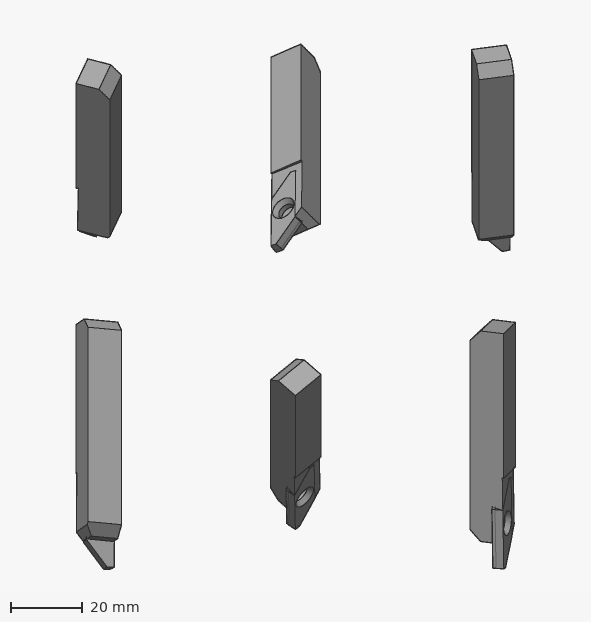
import cadquery as cq
import math

SHANK_SIZE = 10.0
SHANK_LENGTH = 62.5
END_CHAMFER = 3.2
NOSE_BEVEL_WIDTH = 2.15
NOSE_BEVEL_HEIGHT = 2.55

RELIEF_TOP = 19.6
SEAT_PITCH_ANGLE = 1.0
SEAT_YAW_ANGLE = 1.5

INSERT_THICKNESS = 3.18
FLARE_DEPTH = 2.2
FLARE_WIDTH = 0.22
INSERT_HALF_WIDTH = 3.95
INSERT_HALF_LENGTH = 12.39
TIP_WIDTH = 1.7
TIP_DROP = 0.15
TIP_SLOPE = 49.6
INSERT_CENTER_Y = 1.065
INSERT_CENTER_Z = 4.96
FACE_X_AT_CENTER = 0.277

HOLE_DIAMETER = 4.9
SINK_DIAMETER = 7.0
SINK_DEPTH = 1.55

HALF_SIZE = SHANK_SIZE / 2


def place_on_seat(body):
    """Tilt a body built about the insert's face centre and move it to the seat."""
    origin = (0, 0, 0)
    pitched = body.rotate(origin, (0, 1, 0), SEAT_PITCH_ANGLE)
    yawed = pitched.rotate(origin, (0, 0, 1), SEAT_YAW_ANGLE)
    return yawed.translate((FACE_X_AT_CENTER, INSERT_CENTER_Y, INSERT_CENTER_Z))


def insert_section(depth, growth):
    """Insert outline at a depth below its outer face, its long edges and slopes moved out by growth."""
    half_width = INSERT_HALF_WIDTH + growth
    slope = math.radians(TIP_SLOPE)
    slope_rise = (INSERT_HALF_WIDTH - TIP_WIDTH) * math.tan(slope)
    slope_middle = INSERT_HALF_LENGTH - slope_rise + growth / math.cos(slope)
    tip_y = (slope_middle - INSERT_HALF_LENGTH) / math.tan(slope)
    shoulder_z = slope_middle - half_width * math.tan(slope)
    half_outline = [
        (-half_width, INSERT_HALF_LENGTH - TIP_DROP),
        (tip_y, INSERT_HALF_LENGTH),
        (half_width, shoulder_z),
    ]
    other_half = [(-y, -z) for y, z in half_outline]
    return cq.Workplane("YZ", origin=(depth, 0, 0)).polyline(half_outline + other_half).close()


def loft_sections(near_depth, near_growth, far_depth, far_growth):
    near = insert_section(near_depth, near_growth).wires().val()
    far = insert_section(far_depth, far_growth).wires().val()
    return cq.Workplane(cq.Solid.makeLoft([near, far], True))


def make_insert_blank():
    flared = loft_sections(0, 0, FLARE_DEPTH, FLARE_WIDTH)
    base = insert_section(FLARE_DEPTH, FLARE_WIDTH).extrude(INSERT_THICKNESS - FLARE_DEPTH)
    return flared.union(base)


def make_screw_hole():
    bore_radius = HOLE_DIAMETER / 2
    profile = [
        (0, 0),
        (0, SINK_DIAMETER / 2),
        (SINK_DEPTH, bore_radius),
        (INSERT_THICKNESS, bore_radius),
        (INSERT_THICKNESS, 0),
    ]
    return cq.Workplane("XY").polyline(profile).close().revolve(360, (0, 0, 0), (1, 0, 0))


def make_relief_cutter():
    depth = SHANK_SIZE
    span = 2 * SHANK_LENGTH
    slab = cq.Workplane("XY").box(depth, span, span).translate((-depth / 2, 0, 0))
    below_step = cq.Workplane("XY").box(span, span, span).translate((0, 0, RELIEF_TOP - span / 2))
    return place_on_seat(slab).intersect(below_step)


def make_shank(insert_blank):
    shank = cq.Workplane("XY").box(SHANK_SIZE, SHANK_SIZE, SHANK_LENGTH, centered=(False, True, False))
    shank = shank.edges(">X and |Y").chamfer(END_CHAMFER)
    nose_bevel = (
        cq.Workplane("YZ")
        .polyline([(-HALF_SIZE, 0), (NOSE_BEVEL_WIDTH - HALF_SIZE, 0), (-HALF_SIZE, NOSE_BEVEL_HEIGHT)])
        .close()
        .extrude(SHANK_SIZE)
    )
    return shank.cut(nose_bevel).cut(make_relief_cutter()).cut(insert_blank)


insert_blank = place_on_seat(make_insert_blank())
shank = make_shank(insert_blank)
insert = insert_blank.cut(place_on_seat(make_screw_hole()))

result = cq.Compound.makeCompound([shank.val(), insert.val()])